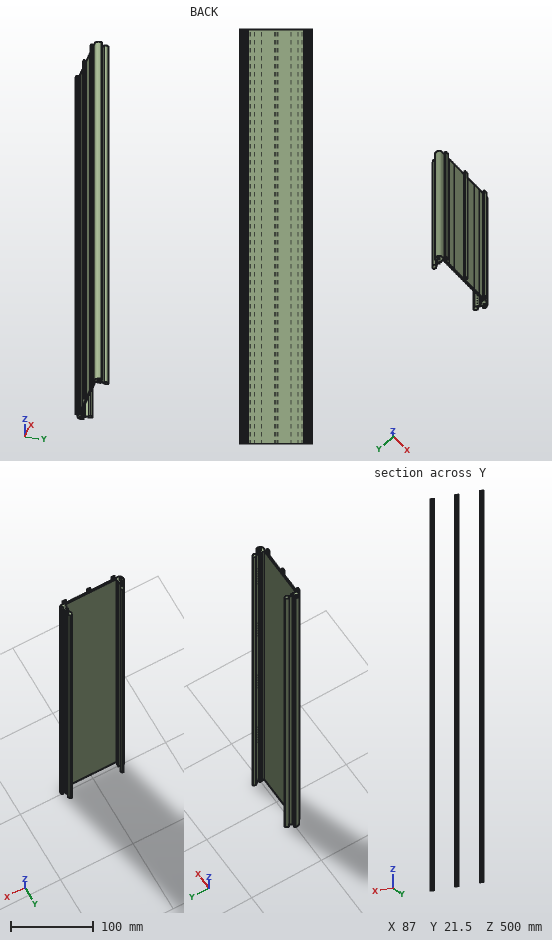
import cadquery as cq
import math

length = 500.0
half_width = 43.5
height = 21.5

plate_bottom = 3.6
plate_top = 5.5

foot_width = 4.5
foot_head_height = 1.5
foot_neck_width = 1.8
foot_spacing = 33.5

strip_inner = 17.5
strip_outer = 26.0
strip_height = 0.1

rim_y = 12.0
rim_chamfer_width = 1.0
rim_chamfer_height = 1.5
wall_arc_start_y = 9.0
wall_arc_end = (42.5, 5.5)
corner_arc_end_x = 39.5

channel_x = 40.0
channel_y = 8.0
channel_diameter = 3.0
slot_width = 1.0
mouth_width = 2.5
mouth_depth = 1.0

wall_inner = 35.0
ledge_inner = 34.5
ledge_bottom = 8.5
notch_top = 11.0
notch_bottom = 9.0
notch_root_x = 36.5

lean_angle = 30
neck_top = 16.5
neck_outer_top = 36.0
head_inner = 34.5
bulge_inner = 33.5
bulge_y = 18.5
bead_x = 37.0
bead_y = 18.0
bead_diameter = 3.0


def bar(x_min, x_max, y_min, y_max):
    """Full-length rectangular bar between the given limits."""
    return (
        cq.Workplane("XY")
        .center((x_min + x_max) / 2, (y_min + y_max) / 2)
        .rect(x_max - x_min, y_max - y_min)
        .extrude(length)
    )


def rod(x, y, diameter):
    """Full-length round bar."""
    return cq.Workplane("XY").center(x, y).circle(diameter / 2).extrude(length)


def make_base():
    """Plate with its two raised strips and three feet."""
    base = bar(-wall_inner, wall_inner, plate_bottom, plate_top)
    strip_bottom = plate_bottom - strip_height
    base = base.union(bar(strip_inner, strip_outer, strip_bottom, plate_top))
    base = base.union(bar(-strip_outer, -strip_inner, strip_bottom, plate_top))
    for foot_x in (-foot_spacing, 0, foot_spacing):
        base = base.union(make_foot(foot_x))
    return base


def make_foot(x):
    """T-shaped foot: a narrow neck with a wider flat head at the tip."""
    neck = bar(x - foot_neck_width / 2, x + foot_neck_width / 2, 0, plate_top)
    head = bar(x - foot_width / 2, x + foot_width / 2, 0, foot_head_height)
    return neck.union(head)


def make_wall():
    """Side wall at +X with its channel, slot and notch."""
    wall = (
        cq.Workplane("XY")
        .moveTo(half_width - rim_chamfer_width, rim_y)
        .lineTo(half_width, rim_y - rim_chamfer_height)
        .lineTo(half_width, wall_arc_start_y)
        .tangentArcPoint(wall_arc_end, relative=False)
        .tangentArcPoint((corner_arc_end_x, plate_bottom), relative=False)
        .lineTo(wall_inner, plate_bottom)
        .lineTo(wall_inner, ledge_bottom)
        .lineTo(ledge_inner, ledge_bottom)
        .lineTo(ledge_inner, notch_bottom)
        .lineTo(notch_root_x, (notch_top + notch_bottom) / 2)
        .lineTo(ledge_inner, notch_top)
        .lineTo(ledge_inner, rim_y)
        .close()
        .extrude(length)
    )
    mouth = (
        cq.Workplane("XY")
        .moveTo(channel_x - mouth_width / 2, rim_y)
        .lineTo(channel_x + mouth_width / 2, rim_y)
        .lineTo(channel_x + slot_width / 2, rim_y - mouth_depth)
        .lineTo(channel_x - slot_width / 2, rim_y - mouth_depth)
        .close()
        .extrude(length)
    )
    slot = bar(channel_x - slot_width / 2, channel_x + slot_width / 2, channel_y, rim_y)
    channel = rod(channel_x, channel_y, channel_diameter)
    return wall.cut(mouth).cut(slot).cut(channel)


def make_clip():
    """Leaning neck and beaded head on top of the +X wall."""
    lean = math.radians(lean_angle)
    outer_shift = (neck_top - rim_y) * math.tan(lean)
    inner_shift = (bulge_y - rim_y) * math.tan(lean)
    bead_radius = bead_diameter / 2
    tangent_x = bead_x + bead_radius * math.cos(lean)
    tangent_y = bead_y + bead_radius * math.sin(lean)
    tip_x = tangent_x - (height - tangent_y) * math.tan(lean)
    return (
        cq.Workplane("XY")
        .moveTo(head_inner, height)
        .lineTo(tip_x, height)
        .lineTo(tangent_x, tangent_y)
        .radiusArc((bead_x, bead_y - bead_radius), bead_radius)
        .lineTo(neck_outer_top, neck_top)
        .lineTo(neck_outer_top + outer_shift, rim_y)
        .lineTo(bulge_inner + inner_shift, rim_y)
        .lineTo(bulge_inner, bulge_y)
        .close()
        .extrude(length)
    )


side = make_wall().union(make_clip())
result = make_base().union(side).union(side.mirror("YZ")).clean()